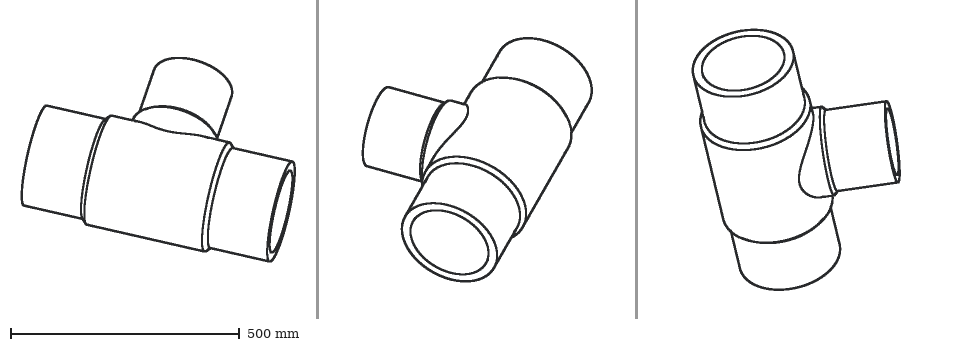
import cadquery as cq

run_length = 558.0
run_diameter = 225.0
run_wall = 20.5
body_length = 288.0

branch_reach = 280.0
branch_diameter = 180.0
branch_wall = 16.4
collar_reach = 145.0

wall_thickening = 0.5
body_diameter = run_diameter + 2 * wall_thickening * run_wall
collar_diameter = branch_diameter + 2 * wall_thickening * branch_wall

body_chamfer = (body_diameter - run_diameter) / 2
collar_chamfer = (collar_diameter - branch_diameter) / 2

run_bore = run_diameter - 2 * run_wall
branch_bore = branch_diameter - 2 * branch_wall


def run_cylinder(diameter, length):
    """Cylinder along X, centred on the origin."""
    return cq.Workplane("YZ").circle(diameter / 2).extrude(length / 2, both=True)


def branch_cylinder(diameter, reach):
    """Cylinder along +Y, from the run axis out to the given reach."""
    return cq.Workplane("XZ").circle(diameter / 2).extrude(-reach)


def make_run():
    """Solid run pipe with the thicker, chamfered body around its middle."""
    body = run_cylinder(body_diameter, body_length)
    body = body.faces("<X or >X").edges().chamfer(body_chamfer)
    return run_cylinder(run_diameter, run_length).union(body)


def make_branch():
    """Solid branch pipe with a collar chamfered down to the pipe."""
    collar = branch_cylinder(collar_diameter, collar_reach)
    collar = collar.faces(">Y").edges().chamfer(collar_chamfer)
    return branch_cylinder(branch_diameter, branch_reach).union(collar)


def make_bores():
    """Through bore of the run joined by the branch bore."""
    return run_cylinder(run_bore, run_length).union(branch_cylinder(branch_bore, branch_reach))


result = make_run().union(make_branch()).cut(make_bores())